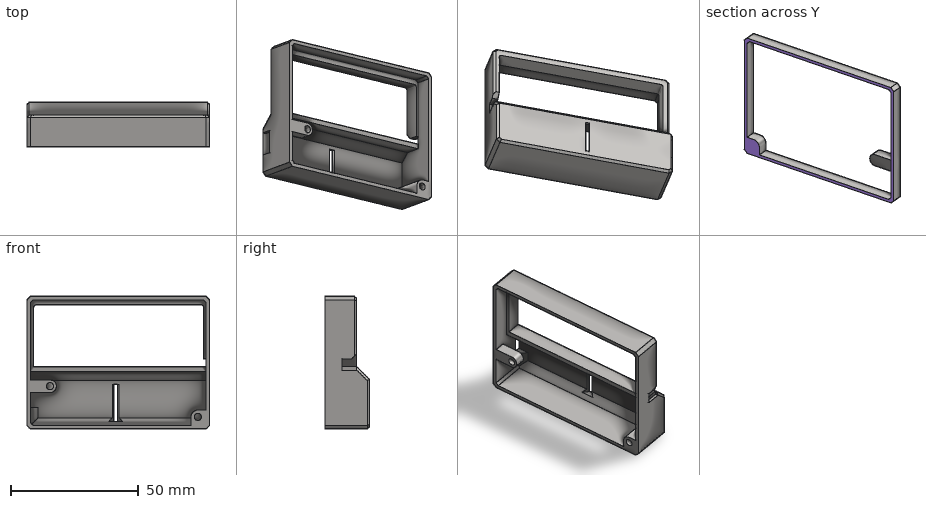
import cadquery as cq
width = 71.55
depth = 17.5
height = 51.95
upper_depth = 12.45
step_top_z = 24.4
step_bottom_z = step_top_z - (depth - upper_depth)
corner_chamfer = 1.4
back_chamfer = 0.9

side_wall = 1.5
end_wall = 1.4
back_wall = 1.0
cavity_corner_chamfer = 1.0
frame_front_y = 6.65
floor_y = depth - back_wall
shelf_bottom_z = 22.5
step_wall_bottom_z = 19.0
wedge_run = 2.9
wedge_front_y = floor_y - wedge_run
inner_right_x = width - side_wall

window_left_x = 2.7
window_right_x = 69.2
window_top_z = 48.5
window_bottom_z = step_top_z
window_corner_radius = 1.0

notch_top_z = 27.4
notch_bottom_z = 22.9
notch_flare = 2.0
notch_ledge = 0.35

port_bottom_z = 8.4
port_top_z = 17.45
port_front_y = 12.5
port_reach = 7.15

slot_x = 34.8
slot_half_width = 0.68
slot_flare_depth = 0.61
slot_bottom_z = 3.0
slot_top_z = 17.45

screw_diameter = 2.8
screw_depth = 3.6
left_screw_x = 9.1
left_screw_z = 16.75
left_post_radius = 2.5
left_post_length = 4.3
right_screw_x = 66.9
right_screw_z = 4.7
right_post_reach = 2.7
right_post_fillet = 2.85


def box(x_range, y_range, z_range):
    """Box spanning the given (low, high) ranges."""
    spans = [high - low for low, high in (x_range, y_range, z_range)]
    corner = (x_range[0], y_range[0], z_range[0])
    return cq.Workplane("XY").box(*spans, centered=False).translate(corner)


def cylinder_y(x, z, radius, length):
    """Cylinder running back from the front plane."""
    return cq.Workplane("XZ").center(x, z).circle(radius).extrude(-length)


def extrude_x(points, start_x, end_x):
    """Prism along X from a (y, z) outline."""
    return cq.Workplane("YZ", origin=(start_x, 0, 0)).polyline(points).close().extrude(end_x - start_x)


def make_shell():
    """Outer block with chamfered corners and a sloped step across its back."""
    block = box((0, width), (0, depth), (0, height)).edges("|Y").chamfer(corner_chamfer)
    step = extrude_x(
        [
            (upper_depth, height),
            (upper_depth, step_top_z),
            (depth, step_bottom_z),
            (depth, height),
        ],
        0,
        width,
    )
    shell = block.cut(step)
    margin = 0.7
    far_corner = (width + margin, depth + margin)
    behind_front = cq.selectors.BoxSelector(
        (-margin, margin, -margin), (*far_corner, height + margin), boundingbox=True
    )
    between_ends = cq.selectors.BoxSelector(
        (-margin, margin, margin), (*far_corner, height - margin), boundingbox=True
    )
    step_creases = between_ends & cq.selectors.ParallelDirSelector(cq.Vector(1, 0, 0))
    return shell.edges(behind_front - step_creases).chamfer(back_chamfer)


def make_cavity():
    """Hollow behind the front opening, following the step and wedge-filled at the bottom and left."""
    cavity = box((side_wall, inner_right_x), (0, floor_y), (end_wall, height - end_wall))
    cavity = cavity.edges("|Y").chamfer(cavity_corner_chamfer)
    step_inner_front_y = floor_y - (shelf_bottom_z - step_wall_bottom_z)
    frame = extrude_x(
        [
            (frame_front_y, height),
            (frame_front_y, shelf_bottom_z),
            (step_inner_front_y, shelf_bottom_z),
            (floor_y, step_wall_bottom_z),
            (floor_y, height),
        ],
        0,
        width,
    )
    bottom_wedge = extrude_x(
        [
            (wedge_front_y, end_wall),
            (floor_y, end_wall),
            (floor_y, end_wall + wedge_run),
        ],
        0,
        width,
    )
    left_wedge = (
        cq.Workplane("XY")
        .polyline(
            [
                (side_wall, wedge_front_y),
                (side_wall, floor_y),
                (side_wall + wedge_run, floor_y),
            ]
        )
        .close()
        .extrude(port_top_z)
    )
    return cavity.cut(frame).cut(bottom_wedge).cut(left_wedge)


def make_window():
    """Display opening through the frame, rounded at its top corners."""
    window = box((window_left_x, window_right_x), (0, depth), (window_bottom_z, window_top_z))
    return window.edges("|Y and >Z").fillet(window_corner_radius)


def make_notch(start_x, end_x, bottom_z):
    """Notch behind the frame front, flared at 45 degrees at its upper back edge."""
    return extrude_x(
        [
            (frame_front_y, bottom_z),
            (frame_front_y, notch_top_z),
            (upper_depth - notch_flare, notch_top_z),
            (upper_depth, notch_top_z + notch_flare),
            (upper_depth, bottom_z),
        ],
        start_x,
        end_x,
    )


def make_slot():
    """Vertical floor slot whose sides widen at 45 degrees toward the front."""
    flare_start_y = floor_y + slot_flare_depth
    flare_half_width = slot_half_width + flare_start_y - wedge_front_y
    return (
        cq.Workplane("XY", origin=(slot_x, 0, slot_bottom_z))
        .polyline(
            [
                (-slot_half_width, depth),
                (slot_half_width, depth),
                (slot_half_width, flare_start_y),
                (flare_half_width, wedge_front_y),
                (-flare_half_width, wedge_front_y),
                (-slot_half_width, flare_start_y),
            ]
        )
        .close()
        .extrude(slot_top_z - slot_bottom_z)
    )


def make_left_post():
    """Short screw post joined to the left wall."""
    web = box(
        (side_wall, left_screw_x),
        (0, left_post_length),
        (left_screw_z - left_post_radius, left_screw_z + left_post_radius),
    )
    return web.union(cylinder_y(left_screw_x, left_screw_z, left_post_radius, left_post_length))


def make_right_post():
    """Screw post filling the lower right corner down to the floor."""
    left_x = right_screw_x - right_post_reach
    top_z = right_screw_z + right_post_reach
    post = box((left_x, inner_right_x), (0, floor_y), (end_wall, top_z))
    return post.edges("|Y and <X and >Z").fillet(right_post_fillet)


ledge_end_x = inner_right_x + notch_ledge
result = (
    make_shell()
    .cut(make_cavity())
    .cut(make_window())
    .cut(make_notch(window_right_x, ledge_end_x, window_bottom_z))
    .cut(make_notch(ledge_end_x, width, notch_bottom_z))
    .cut(box((0, port_reach), (port_front_y, floor_y), (port_bottom_z, port_top_z)))
    .cut(make_slot())
    .union(make_left_post())
    .union(make_right_post())
    .cut(cylinder_y(left_screw_x, left_screw_z, screw_diameter / 2, screw_depth))
    .cut(cylinder_y(right_screw_x, right_screw_z, screw_diameter / 2, screw_depth))
)